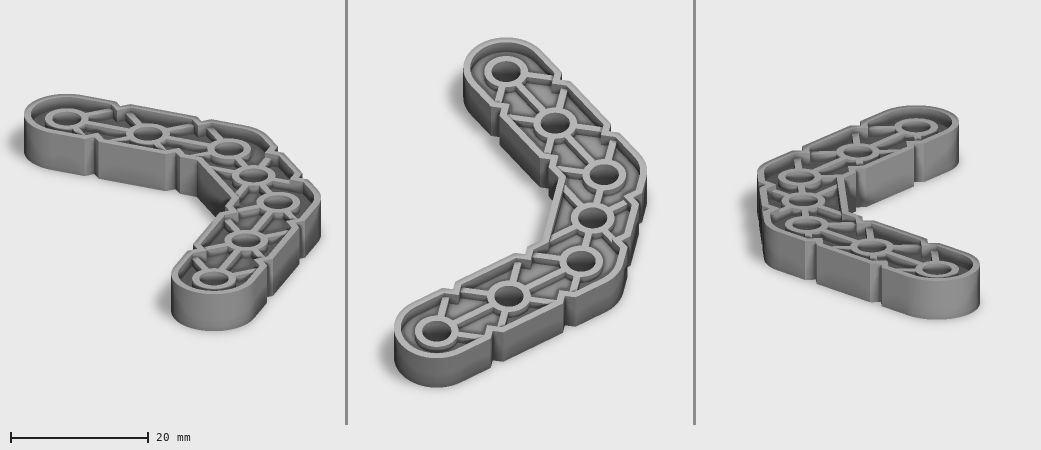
import cadquery as cq
import math

SPAN = 50.5
HEIGHT = 6.1

PITCH = 12.7
WIDTH = SPAN - 3 * PITCH
HALF_WIDTH = WIDTH / 2
BEND_STEP = PITCH / 2

HOLE_RADIUS = 2.1
BOSS_RADIUS = 3.2
WALL = 1.0
RIB_WIDTH = 1.0
NOTCH_DEPTH = 1.1
FLOOR_DEPTH = 2.0
RIB_DROP = 0.75

FLOOR_Z = HEIGHT - FLOOR_DEPTH
RIB_HEIGHT = FLOOR_DEPTH - RIB_DROP

CORNER = SPAN / 2 - HALF_WIDTH
HOLES = [(CORNER - k * PITCH, CORNER) for k in (3, 2, 1)]
HOLES.append((CORNER - BEND_STEP, CORNER - BEND_STEP))
HOLES += [(CORNER, CORNER - k * PITCH) for k in (1, 2, 3)]

X_LEG = (0, 2, 0)
BEND = (2, 4, -45)
Y_LEG = (4, 6, -90)
STRETCHES = (X_LEG, BEND, Y_LEG)
BEND_MIDDLE = 3


def midpoint(a, b):
    return ((a[0] + b[0]) / 2, (a[1] + b[1]) / 2)


def offset_point(point, heading, distance):
    """Point reached by moving a distance from a point along a heading."""
    angle = math.radians(heading)
    return (point[0] + distance * math.cos(angle), point[1] + distance * math.sin(angle))


def beam_stretch(start, end, heading):
    """Solid straight stretch with half-round ends centred on its end holes."""
    length = math.dist(start, end) + WIDTH
    return (
        cq.Workplane("XY", origin=(*midpoint(start, end), 0))
        .slot2D(length, WIDTH, heading)
        .extrude(HEIGHT)
    )


def notch(edge_point, heading):
    """Square prism with one corner pointing into the beam, for a right-angled V notch."""
    side = NOTCH_DEPTH * math.sqrt(2)
    return (
        cq.Workplane("XY", origin=(*edge_point, 0))
        .transformed(rotate=(0, 0, heading + 45))
        .rect(side, side)
        .extrude(HEIGHT)
    )


def beam_body():
    """Solid bent beam, notched midway between neighbouring holes."""
    body = cq.Workplane("XY")
    for first, last, heading in STRETCHES:
        body = body.union(beam_stretch(HOLES[first], HOLES[last], heading))
    body = body.clean()

    for stretch in STRETCHES:
        first, last, heading = stretch
        sides = (90,) if stretch == BEND else (90, -90)
        for i in range(first, last):
            middle = midpoint(HOLES[i], HOLES[i + 1])
            for side in sides:
                edge_point = offset_point(middle, heading + side, HALF_WIDTH)
                body = body.cut(notch(edge_point, heading))
    return body


def rim_pocket(body):
    """Space inside the rim wall, from the pocket floor up to the top of the beam."""
    outline = body.faces(">Z").wires().val()
    inner_outline = outline.offset2D(-WALL, "intersection")[0]
    return cq.Workplane("XY").add(inner_outline).toPending().extrude(-FLOOR_DEPTH)


def rib(start, heading, length):
    """Straight rib standing on the pocket floor, running from a point along a heading."""
    return (
        cq.Workplane("XY", origin=(*start, FLOOR_Z))
        .transformed(rotate=(0, 0, heading))
        .rect(length, RIB_WIDTH)
        .extrude(RIB_HEIGHT)
        .translate((*offset_point((0, 0), heading, length / 2), 0))
    )


def ribs_and_bosses():
    """Bosses around the holes, spine ribs joining them and slanted ribs to the rim."""
    web = (
        cq.Workplane("XY", origin=(0, 0, FLOOR_Z))
        .pushPoints(HOLES)
        .circle(BOSS_RADIUS)
        .extrude(RIB_HEIGHT)
    )
    slant_length = (HALF_WIDTH - WALL / 2) * math.sqrt(2)
    for stretch in STRETCHES:
        first, last, heading = stretch
        web = web.union(rib(HOLES[first], heading, math.dist(HOLES[first], HOLES[last])))
        for i in range(first, last):
            for hole, facing in ((i, heading), (i + 1, heading + 180)):
                if stretch == BEND and hole != BEND_MIDDLE:
                    continue
                for slant in (45, -45):
                    web = web.union(rib(HOLES[hole], facing + slant, slant_length))
    return web


body = beam_body()
pocket = rim_pocket(body)
web = ribs_and_bosses().intersect(pocket)
holes = cq.Workplane("XY").pushPoints(HOLES).circle(HOLE_RADIUS).extrude(HEIGHT)

result = body.cut(pocket).union(web).cut(holes)